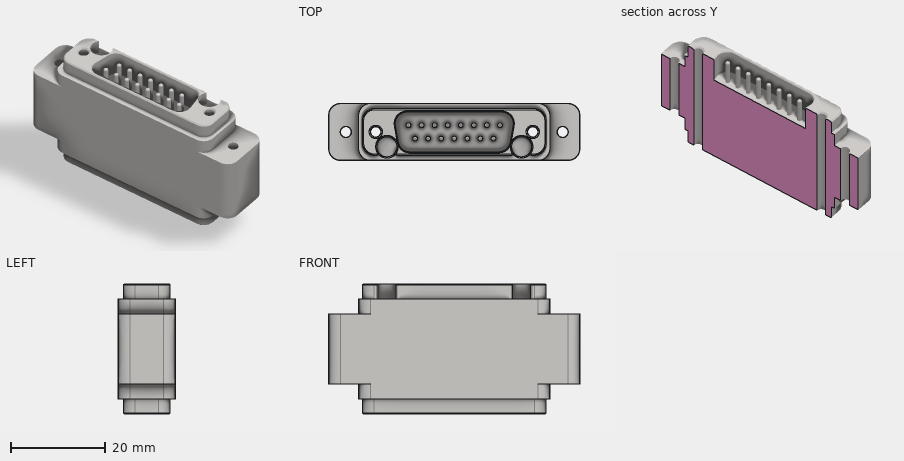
import cadquery as cq
import math

corner_radius = 2.5
flange_length = 53.2
body_width = 12.1
flange_height = 14.9
body_length = 40.5
body_height = 21.25
shell_length = 38.9
shell_width = 9.9
total_height = 27.6
shell_chamfer = 0.25

flange_hole_diameter = 2.3
flange_hole_spacing = 45.9
screw_hole_diameter = 2.2
screw_hole_spacing = 33.25
screw_hole_chamfer = 0.3

notch_radius = 2.4
notch_x = 14.25
notch_y = -3.15
notch_mouth_fillet = 0.25
notch_floor_depth = 0.25

pocket_mid_length = 24.5
pocket_width = 8.4
pocket_side_angle = 10.0
pocket_corner_radius = 2.45
pocket_chamfer = 0.2
pocket_depth = 5.85

pin_diameter = 1.0
pin_pitch = 2.75
pin_row_gap = 2.8
pin_tip_recess = 0.3
pin_tip_fillet = 0.35
back_row_pins = 8
front_row_pins = back_row_pins - 1

top_z = total_height / 2
shell_base_z = body_height / 2
pocket_floor_z = top_z - pocket_depth
chamfer_angle = 45.0


def rounded_block(length, width, height):
    """Centred block with rounded vertical edges."""
    return cq.Workplane("XY").box(length, width, height).edges("|Z").fillet(corner_radius)


def mirrored_points(x, y):
    """A point and its mirror image across the YZ plane."""
    return [(-x, y), (x, y)]


def shell_block():
    """Full-height shell with both end faces chamfered and the notches cut in its top end."""
    notch_depth = top_z - shell_base_z
    shell = (
        rounded_block(shell_length, shell_width, total_height)
        .faces(">Z").workplane()
        .pushPoints(mirrored_points(notch_x, notch_y))
        .circle(notch_radius).cutBlind(-notch_depth)
    )
    mouth_half_width = math.sqrt(notch_radius**2 - (shell_width / 2 + notch_y) ** 2)
    mouth_mid_z = top_z - notch_depth / 2
    for side in (-1, 1):
        for mouth_side in (-1, 1):
            mouth_x = side * notch_x + mouth_side * mouth_half_width
            mouth_point = (mouth_x, -shell_width / 2, mouth_mid_z)
            shell = shell.edges(cq.selectors.NearestToPointSelector(mouth_point)).fillet(notch_mouth_fillet)
    envelope = rounded_block(shell_length, shell_width, total_height).faces("<Z or >Z").chamfer(shell_chamfer)
    return shell.intersect(envelope)


def cone_sink(x, y, z, top_radius, depth):
    """Conical 45 degree chamfer tool, widest at height z and narrowing downward."""
    cone = cq.Solid.makeCone(top_radius, top_radius - depth, depth, cq.Vector(x, y, z), cq.Vector(0, 0, -1))
    return cq.Workplane(obj=cone)


def d_outline(z, offset):
    """D-shaped outline at height z, grown outward by offset."""
    half_y = pocket_width / 2 + offset
    side_angle = math.radians(pocket_side_angle)
    slope = math.tan(side_angle)
    mid_x = pocket_mid_length / 2 + offset / math.cos(side_angle)
    back_x = mid_x + half_y * slope
    front_x = mid_x - half_y * slope
    corners = [(-front_x, -half_y), (front_x, -half_y), (back_x, half_y), (-back_x, half_y)]
    sketch = cq.Sketch().polygon(corners + corners[:1]).vertices().fillet(pocket_corner_radius + offset)
    return cq.Workplane("XY", origin=(0, 0, z)).placeSketch(sketch)


def d_pocket():
    """Pocket tool: straight D-shaped well with a 45 degree lead-in at the top."""
    well = d_outline(pocket_floor_z, 0).extrude(pocket_depth)
    lead_in = d_outline(top_z, pocket_chamfer).extrude(-pocket_chamfer, taper=chamfer_angle)
    return well.union(lead_in)


def pin_row(count, y):
    """Row of round-tipped pins standing on the pocket floor, centred in X."""
    pin_length = pocket_depth - pin_tip_recess
    points = [((i - (count - 1) / 2) * pin_pitch, y) for i in range(count)]
    return (
        cq.Workplane("XY", origin=(0, 0, pocket_floor_z))
        .pushPoints(points).circle(pin_diameter / 2).extrude(pin_length)
        .faces(">Z").edges().fillet(pin_tip_fillet)
    )


def through_holes(spacing, diameter):
    """Pair of vertical drill tools running the whole height of the part."""
    return (
        cq.Workplane("XY", origin=(0, 0, -top_z))
        .pushPoints(mirrored_points(spacing / 2, 0)).circle(diameter / 2).extrude(total_height)
    )


result = (
    rounded_block(flange_length, body_width, flange_height)
    .union(rounded_block(body_length, body_width, body_height))
    .union(shell_block())
)

result = result.cut(through_holes(flange_hole_spacing, flange_hole_diameter))
result = result.cut(through_holes(screw_hole_spacing, screw_hole_diameter))

screw_sink_radius = screw_hole_diameter / 2 + screw_hole_chamfer
for x, y in mirrored_points(screw_hole_spacing / 2, 0):
    result = result.cut(cone_sink(x, y, top_z, screw_sink_radius, screw_hole_chamfer))

for x, y in mirrored_points(notch_x, notch_y):
    result = result.cut(cone_sink(x, y, shell_base_z, notch_radius, notch_floor_depth))

result = result.cut(d_pocket())
result = result.union(pin_row(back_row_pins, pin_row_gap / 2))
result = result.union(pin_row(front_row_pins, -pin_row_gap / 2))